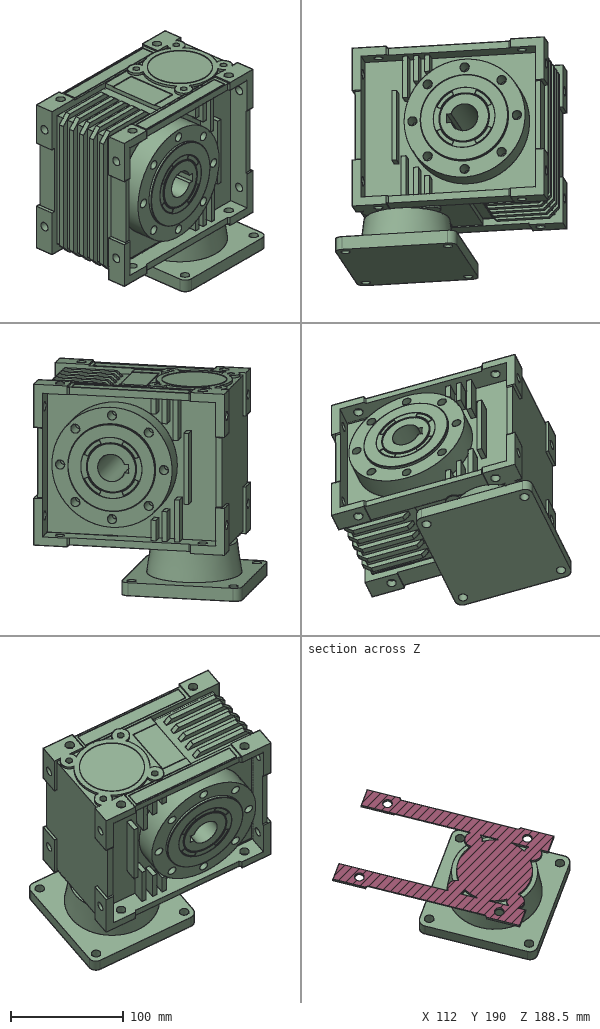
import cadquery as cq
import math

CENTRE_DISTANCE = 63.0

HALF_WIDTH = 52.0
FRONT_Y = -72.0
BACK_Y = 102.5
TOP_Z = 72.0
BOTTOM_Z = -75.5
WALL = 8.0

BODY_HALF_WIDTH = 33.5
BODY_FRONT_Y = FRONT_Y + 7.0
BODY_BACK_Y = BACK_Y - 2.5
DECK_TOP_Z = TOP_Z - 2.3
DECK_BOTTOM_Z = BOTTOM_Z + 2.5
STEP_Y = 0.4
STEP_TOP_Z = TOP_Z - 7.0
STEP_BOTTOM_Z = BOTTOM_Z + 8.0
POCKET_FLOOR_X = 32.5

LONG_RAIL_HALF_WIDTH = 50.0
SHORT_RAIL_HALF_WIDTH = 50.8
RAIL_TOP_Z = TOP_Z - 1.4
RAIL_BOTTOM_Z = BOTTOM_Z + 1.4
RAIL_FRONT_Y = FRONT_Y + 3.4
RAIL_BACK_Y = BACK_Y - 2.5
BLOCK_FRONT_END_Y = -41.3
BLOCK_BACK_END_Y = 71.5
BLOCK_INNER_Z = 32.5
LONG_RAIL_SLOPE = 1.6
SHORT_RAIL_SLOPE = 0.8
PANEL_INNER_X = 36.0
PANEL_OUTER_X = 48.3
PANEL_END_MARGIN = 3.2
PANEL_DEPTH = 0.5

MOUNT_HOLE_DIAMETER = 8.2
MOUNT_HOLE_X = 42.5
MOUNT_HOLE_Z = 50.0
MOUNT_HOLE_YS = (-50.0, 80.5)

FIN_COUNT = 5
FIN_PITCH = 11.9
FIN_WIDTH = 4.8
FIN_FRONT_Y = FRONT_Y + 1.5
FIN_CHAMFER = 9.0
FIN_BACK_Y = -8.4
FIN_RAMP = 5.5

PLATE_HALF_WIDTH = 24.5
PLATE_BACK_Y = 25.0
PLATE_DEPTH = 0.6

COVER_RADIUS = 34.0
COVER_DISC_RADIUS = 29.0
COVER_DISC_DEPTH = 0.5
EAR_CIRCLE_RADIUS = 39.0
EAR_RADIUS = 8.0
EAR_HOLE_DIAMETER = 6.0
EAR_HOLE_DEPTH = 7.0
EAR_ANGLES = (46.0, 136.0, 226.0, 316.0)

CONE_TOP_RADIUS = 38.4
CONE_BOTTOM_RADIUS = 42.5
CONE_HEIGHT = 29.0
FLANGE_WIDTH = 110.8
FLANGE_LENGTH = 110.0
FLANGE_THICKNESS = 12.0
FLANGE_CORNER_RADIUS = 7.0
FLANGE_HOLE_SPACING = 93.2
FLANGE_HOLE_DIAMETER = 8.2

OUTPUT_DISC_RADIUS = 55.0
OUTPUT_DISC_FACE_X = 53.4
SPIGOT_RADIUS = 40.0
SPIGOT_FACE_X = 56.0
SPIGOT_CHAMFER = 0.5
BOLT_CIRCLE_RADIUS = 47.5
BOLT_COUNT = 8
BOLT_HOLE_DIAMETER = 8.2
BOLT_HOLE_DEPTH = 18.0
SEAL_OUTER_RADIUS = 28.0
SEAL_STEP = 0.3
SEAL_POCKET_OUTER_RADIUS = 27.2
SEAL_POCKET_INNER_RADIUS = 23.5
SEAL_POCKET_HALF_ANGLE = 21.0
SEAL_POCKET_DEPTH = 0.5
SEAL_POCKET_ANGLES = (45, 135, 225, 315)
SHAFT_GAP_OUTER_RADIUS = 22.9
SHAFT_GAP_INNER_RADIUS = 22.2
SHAFT_GAP_DEPTH = 1.0
BORE_DIAMETER = 25.0
KEYWAY_WIDTH = 8.0
KEYWAY_TOP_Y = 15.8

RIB_WIDTH = 4.4
RIB_FACE_X = 44.2
POCKET_TOP_Z = TOP_Z - WALL
POCKET_BOTTOM_Z = BOTTOM_Z + WALL
RIBS = (
    (65.8, -BLOCK_INNER_Z, BLOCK_INNER_Z),
    (55.9, 25.5, POCKET_TOP_Z),
    (46.0, 40.3, POCKET_TOP_Z),
    (36.0, 48.7, POCKET_TOP_Z),
    (57.3, POCKET_BOTTOM_Z, -29.0),
    (46.0, POCKET_BOTTOM_Z, -40.3),
    (36.0, POCKET_BOTTOM_Z, -48.7),
)

SIDES = (-1, 1)


def box(x_range, y_range, z_range):
    """Box spanning the given (low, high) ranges."""
    lows, highs = zip(*(sorted(r) for r in (x_range, y_range, z_range)))
    size = [high - low for low, high in zip(lows, highs)]
    return cq.Workplane("XY").box(*size, centered=False).translate(lows)


def z_cylinder(x, y, radius, z_low, z_high):
    return cq.Workplane("XY", origin=(x, y, z_low)).circle(radius).extrude(z_high - z_low)


def x_ring(side, outer_radius, inner_radius, face_x, depth):
    """Ring about the bore axis, reaching inward from face_x on one side."""
    ring = cq.Workplane("YZ", origin=(side * face_x, 0, 0)).circle(outer_radius)
    if inner_radius > 0:
        ring = ring.circle(inner_radius)
    return ring.extrude(-side * depth)


def side_frame(side):
    """Picture-frame wall on one side with set-back rails between its corner blocks."""
    inner_x = side * BODY_HALF_WIDTH
    outer_x = side * HALF_WIDTH
    frame_x = (inner_x, outer_x)
    frame = box(frame_x, (FRONT_Y, BACK_Y), (BOTTOM_Z, TOP_Z))
    pocket_x = (side * POCKET_FLOOR_X, outer_x)
    frame = frame.cut(box(pocket_x, (FRONT_Y + WALL, BACK_Y - WALL), (POCKET_BOTTOM_Z, POCKET_TOP_Z)))

    rail_y = (BLOCK_FRONT_END_Y, BLOCK_BACK_END_Y)
    rail_z = (-BLOCK_INNER_Z, BLOCK_INNER_Z)
    frame = frame.cut(box(frame_x, rail_y, (RAIL_TOP_Z, TOP_Z)))
    frame = frame.cut(box(frame_x, rail_y, (BOTTOM_Z, RAIL_BOTTOM_Z)))
    frame = frame.cut(box(frame_x, (FRONT_Y, RAIL_FRONT_Y), rail_z))
    frame = frame.cut(box(frame_x, (RAIL_BACK_Y, BACK_Y), rail_z))

    long_x = side * LONG_RAIL_HALF_WIDTH
    short_x = side * SHORT_RAIL_HALF_WIDTH
    long_cut = (
        cq.Workplane("XY", origin=(0, 0, BOTTOM_Z))
        .moveTo(outer_x, BLOCK_FRONT_END_Y)
        .lineTo(long_x, BLOCK_FRONT_END_Y + LONG_RAIL_SLOPE)
        .lineTo(long_x, BLOCK_BACK_END_Y - LONG_RAIL_SLOPE)
        .lineTo(outer_x, BLOCK_BACK_END_Y)
        .close()
        .extrude(TOP_Z - BOTTOM_Z)
    )
    short_cut = (
        cq.Workplane("XZ", origin=(0, BACK_Y, 0))
        .moveTo(outer_x, -BLOCK_INNER_Z)
        .lineTo(short_x, -BLOCK_INNER_Z + SHORT_RAIL_SLOPE)
        .lineTo(short_x, BLOCK_INNER_Z - SHORT_RAIL_SLOPE)
        .lineTo(outer_x, BLOCK_INNER_Z)
        .close()
        .extrude(BACK_Y - FRONT_Y)
    )
    return frame.cut(long_cut).cut(short_cut)


def rail_panel(side):
    """Shallow rectangular recess in a top rail."""
    return box(
        (side * PANEL_INNER_X, side * PANEL_OUTER_X),
        (BLOCK_FRONT_END_Y + PANEL_END_MARGIN, BLOCK_BACK_END_Y - PANEL_END_MARGIN),
        (RAIL_TOP_Z - PANEL_DEPTH, RAIL_TOP_Z),
    )


def mount_holes(side):
    """Holes through the frame walls, vertical and front to back."""
    x = side * MOUNT_HOLE_X
    radius = MOUNT_HOLE_DIAMETER / 2
    holes = cq.Workplane("XY")
    for y in MOUNT_HOLE_YS:
        for wall_z in (BOTTOM_Z, POCKET_TOP_Z):
            holes = holes.add(z_cylinder(x, y, radius, wall_z, wall_z + WALL))
    for z in (-MOUNT_HOLE_Z, MOUNT_HOLE_Z):
        for wall_y in (FRONT_Y + WALL, BACK_Y):
            holes = holes.add(cq.Workplane("XZ", origin=(x, wall_y, z)).circle(radius).extrude(WALL))
    return holes.combine()


def central_body():
    """Block between the frames, lower in front of the step and hollowed by the side pockets."""
    body_x = (-BODY_HALF_WIDTH, BODY_HALF_WIDTH)
    rear = box(body_x, (STEP_Y, BODY_BACK_Y), (DECK_BOTTOM_Z, DECK_TOP_Z))
    front = box(body_x, (BODY_FRONT_Y, STEP_Y), (STEP_BOTTOM_Z, STEP_TOP_Z))
    body = rear.union(front)
    for side in SIDES:
        body = body.cut(
            box(
                (side * POCKET_FLOOR_X, side * BODY_HALF_WIDTH),
                (FRONT_Y + WALL, BACK_Y - WALL),
                (POCKET_BOTTOM_Z, POCKET_TOP_Z),
            )
        )
    return body


def fins():
    """Parallel fins wrapping over the top, front and bottom of the body."""
    ramp_end_y = FIN_BACK_Y - FIN_RAMP
    chamfer_y = FIN_FRONT_Y + FIN_CHAMFER
    profile = [
        (FIN_BACK_Y, STEP_TOP_Z),
        (ramp_end_y, DECK_TOP_Z),
        (chamfer_y, DECK_TOP_Z),
        (FIN_FRONT_Y, DECK_TOP_Z - FIN_CHAMFER),
        (FIN_FRONT_Y, DECK_BOTTOM_Z + FIN_CHAMFER),
        (chamfer_y, DECK_BOTTOM_Z),
        (ramp_end_y, DECK_BOTTOM_Z),
        (FIN_BACK_Y, STEP_BOTTOM_Z),
    ]
    first_x = -FIN_PITCH * (FIN_COUNT - 1) / 2
    fin = cq.Workplane("YZ").polyline(profile).close().extrude(FIN_WIDTH / 2, both=True)
    group = cq.Workplane("XY")
    for index in range(FIN_COUNT):
        group = group.add(fin.translate((first_x + index * FIN_PITCH, 0, 0)))
    return group.combine()


def nameplate_recess():
    return box(
        (-PLATE_HALF_WIDTH, PLATE_HALF_WIDTH),
        (STEP_Y, PLATE_BACK_Y),
        (DECK_TOP_Z - PLATE_DEPTH, DECK_TOP_Z),
    )


def ear_centres():
    centres = []
    for angle in EAR_ANGLES:
        x = EAR_CIRCLE_RADIUS * math.cos(math.radians(angle))
        y = CENTRE_DISTANCE + EAR_CIRCLE_RADIUS * math.sin(math.radians(angle))
        centres.append((x, y))
    return centres


def worm_cover(z_low, z_high):
    """Round cover with four bolt ears."""
    cover = z_cylinder(0, CENTRE_DISTANCE, COVER_RADIUS, z_low, z_high)
    for x, y in ear_centres():
        cover = cover.union(z_cylinder(x, y, EAR_RADIUS, z_low, z_high))
    return cover


def top_cover_cuts():
    """Shallow disc and the ear holes of the top cover."""
    cuts = z_cylinder(0, CENTRE_DISTANCE, COVER_DISC_RADIUS, TOP_Z - COVER_DISC_DEPTH, TOP_Z)
    for x, y in ear_centres():
        cuts = cuts.union(z_cylinder(x, y, EAR_HOLE_DIAMETER / 2, TOP_Z - EAR_HOLE_DEPTH, TOP_Z))
    return cuts


def motor_flange():
    """Tapered neck and square flange below the housing."""
    neck_bottom_z = BOTTOM_Z - CONE_HEIGHT
    neck = (
        cq.Workplane("XY", origin=(0, CENTRE_DISTANCE, neck_bottom_z))
        .circle(CONE_BOTTOM_RADIUS)
        .workplane(offset=CONE_HEIGHT)
        .circle(CONE_TOP_RADIUS)
        .loft()
    )
    plate = (
        cq.Workplane("XY", origin=(0, CENTRE_DISTANCE, neck_bottom_z))
        .rect(FLANGE_WIDTH, FLANGE_LENGTH)
        .extrude(-FLANGE_THICKNESS)
        .edges("|Z")
        .fillet(FLANGE_CORNER_RADIUS)
    )
    holes = (
        cq.Workplane("XY", origin=(0, CENTRE_DISTANCE, neck_bottom_z))
        .rect(FLANGE_HOLE_SPACING, FLANGE_HOLE_SPACING, forConstruction=True)
        .vertices()
        .circle(FLANGE_HOLE_DIAMETER / 2)
        .extrude(-FLANGE_THICKNESS)
    )
    return neck.union(plate.cut(holes))


def output_flange(side):
    """Round bolting flange with a raised spigot on one side."""
    disc = x_ring(side, OUTPUT_DISC_RADIUS, 0, OUTPUT_DISC_FACE_X, OUTPUT_DISC_FACE_X - POCKET_FLOOR_X)
    spigot = x_ring(side, SPIGOT_RADIUS, 0, SPIGOT_FACE_X, SPIGOT_FACE_X - POCKET_FLOOR_X)
    outer_face = ">X" if side > 0 else "<X"
    return disc.union(spigot.faces(outer_face).chamfer(SPIGOT_CHAMFER))


def output_flange_cuts(side):
    """Bolt holes, seal seat, seal pockets and the gap around the hollow shaft."""
    cuts = (
        cq.Workplane("YZ", origin=(side * OUTPUT_DISC_FACE_X, 0, 0))
        .polarArray(BOLT_CIRCLE_RADIUS, 0, 360, BOLT_COUNT)
        .circle(BOLT_HOLE_DIAMETER / 2)
        .extrude(-side * BOLT_HOLE_DEPTH)
    )
    cuts = cuts.union(
        x_ring(side, SEAL_OUTER_RADIUS, SHAFT_GAP_OUTER_RADIUS, SPIGOT_FACE_X, SEAL_STEP)
    )
    cuts = cuts.union(
        x_ring(side, SHAFT_GAP_OUTER_RADIUS, SHAFT_GAP_INNER_RADIUS, SPIGOT_FACE_X, SHAFT_GAP_DEPTH)
    )
    pocket_depth = SEAL_STEP + SEAL_POCKET_DEPTH
    for middle in SEAL_POCKET_ANGLES:
        cuts = cuts.union(seal_pocket(side, middle, pocket_depth))
    return cuts


def seal_pocket(side, middle, depth):
    """Arc-shaped pocket centred on the given angle."""

    def polar(radius, offset):
        angle = math.radians(middle + offset)
        return (radius * math.cos(angle), radius * math.sin(angle))

    half = SEAL_POCKET_HALF_ANGLE
    return (
        cq.Workplane("YZ", origin=(side * SPIGOT_FACE_X, 0, 0))
        .moveTo(*polar(SEAL_POCKET_INNER_RADIUS, -half))
        .lineTo(*polar(SEAL_POCKET_OUTER_RADIUS, -half))
        .threePointArc(polar(SEAL_POCKET_OUTER_RADIUS, 0), polar(SEAL_POCKET_OUTER_RADIUS, half))
        .lineTo(*polar(SEAL_POCKET_INNER_RADIUS, half))
        .threePointArc(polar(SEAL_POCKET_INNER_RADIUS, 0), polar(SEAL_POCKET_INNER_RADIUS, -half))
        .close()
        .extrude(-side * depth)
    )


def pocket_ribs(side):
    """Straight ribs standing on one side pocket floor."""
    ribs = cq.Workplane("XY")
    for centre_y, z_low, z_high in RIBS:
        rib_y = (centre_y - RIB_WIDTH / 2, centre_y + RIB_WIDTH / 2)
        ribs = ribs.add(box((side * POCKET_FLOOR_X, side * RIB_FACE_X), rib_y, (z_low, z_high)))
    return ribs.combine()


def keyed_bore():
    """Through bore with a keyway on its +Y side."""
    bore = cq.Workplane("YZ").circle(BORE_DIAMETER / 2).extrude(SPIGOT_FACE_X, both=True)
    keyway = box(
        (-SPIGOT_FACE_X, SPIGOT_FACE_X),
        (0, KEYWAY_TOP_Y),
        (-KEYWAY_WIDTH / 2, KEYWAY_WIDTH / 2),
    )
    return bore.union(keyway)


result = central_body().union(fins()).cut(nameplate_recess())
for side in SIDES:
    frame = side_frame(side).cut(rail_panel(side)).cut(mount_holes(side))
    result = result.union(frame)
    result = result.union(pocket_ribs(side))
    result = result.union(output_flange(side)).cut(output_flange_cuts(side))
result = result.union(worm_cover(DECK_TOP_Z, TOP_Z)).cut(top_cover_cuts())
result = result.union(worm_cover(BOTTOM_Z, DECK_BOTTOM_Z))
result = result.union(motor_flange())
result = result.cut(keyed_bore())